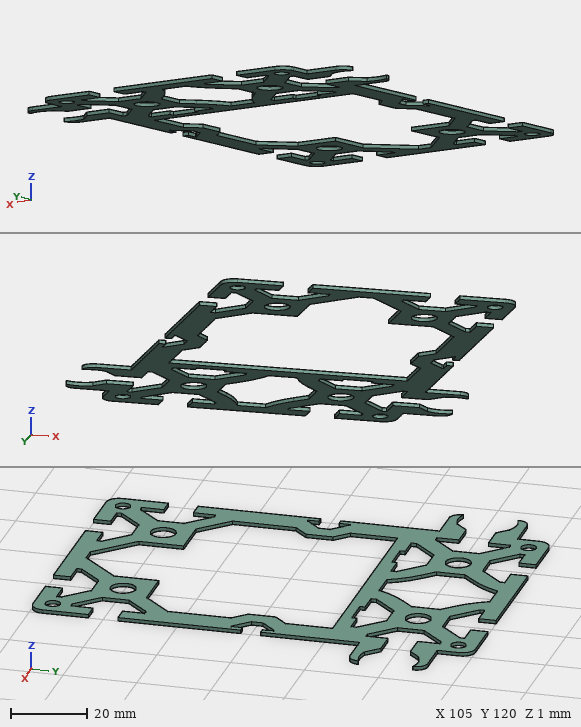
import cadquery as cq

thickness = 1.0
body_width = 80.0
body_height = 120.0
half_width = body_width / 2
half_height = body_height / 2
corner_radius = 3.5

cell_half = 20.0
core_x = half_width - cell_half
core_y = half_height - cell_half
core_half = 7.6
core_bore = 6.8
corner_hole = 4.0
corner_hole_inset = 5.0

slot_mouth_half = 4.0
slot_lip = 4.7
slot_half = 10.0
slot_shoulder = 6.0
slot_depth = cell_half - core_half
slot_floor_half = slot_half - (slot_depth - slot_shoulder)
closed_slot_recess = 3.1
closed_slot_lip = 4.5

side_mouth_half = 2.7
side_lip = 1.8
side_slot_half = 5.75
side_shoulder = 2.2
side_depth = 6.4
side_floor_half = side_slot_half - (side_depth - side_shoulder)

hollow_half_width = core_x - core_half
hollow_half_height = 15.0
hollow_side_half = 3.9
hollow_end_half = 3.8
hollow_bevel = 3.2

cavity_top = 20.15
cavity_half_width = 32.4
bump_height = 3.7
bump_half = 3.7
brace_offset = 4.55
cavity_bottom = -54.9

wing_tip_x = 52.5
wing_tip_radius = 3.0
wing_bevel_x = 42.6
upper_wing_top = 50.6
upper_bevel = 2.9
upper_hook_mid = (48.5, 47.9)
upper_tip_y = 47.3
lower_wing_bottom = 29.5
lower_bevel = 3.5
lower_hook_mid = (48.9, 32.0)
lower_tip_y = 32.6


def extruded(sketch):
    return sketch.close().extrude(thickness)


def both_sides(shape):
    """Join a shape on the +X side with its mirror image."""
    return shape.union(shape.mirror("YZ"))


def slot(mouth_half, lip, half, shoulder, depth, floor_half, start=0.0):
    """T-slot void entering from the origin along +Y."""
    right = [(mouth_half, start), (mouth_half, lip), (half, lip), (half, shoulder), (floor_half, depth)]
    left = [(-x, y) for x, y in reversed(right)]
    return extruded(cq.Workplane("XY").polyline(right + left))


def t_slot(lip=slot_lip, start=0.0):
    return slot(slot_mouth_half, lip, slot_half, slot_shoulder, slot_depth, slot_floor_half, start)


def placed(void, x, y, angle):
    """Turn a slot about Z, then move its mouth to (x, y)."""
    return void.rotate((0, 0, 0), (0, 0, 1), angle).translate((x, y, 0))


def body():
    plate = cq.Workplane("XY").rect(body_width, body_height).extrude(thickness)
    return plate.edges("|Z").fillet(corner_radius)


def upper_wing():
    root_y = core_y + slot_mouth_half
    root_x = half_width - slot_lip
    wing = (
        cq.Workplane("XY")
        .moveTo(root_x, root_y)
        .lineTo(wing_bevel_x, root_y)
        .lineTo(wing_bevel_x + upper_bevel, root_y + upper_bevel)
        .threePointArc(upper_hook_mid, (wing_tip_x, upper_tip_y))
        .lineTo(wing_tip_x, upper_wing_top - wing_tip_radius)
        .radiusArc((wing_tip_x - wing_tip_radius, upper_wing_top), -wing_tip_radius)
        .lineTo(root_x, upper_wing_top)
    )
    return extruded(wing)


def lower_wing():
    root_y = core_y - slot_mouth_half
    root_x = half_width - slot_lip
    wing = (
        cq.Workplane("XY")
        .moveTo(root_x, root_y)
        .lineTo(wing_bevel_x, root_y)
        .lineTo(wing_bevel_x + lower_bevel, root_y - lower_bevel)
        .threePointArc(lower_hook_mid, (wing_tip_x, lower_tip_y))
        .lineTo(wing_tip_x, lower_wing_bottom + wing_tip_radius)
        .radiusArc((wing_tip_x - wing_tip_radius, lower_wing_bottom), wing_tip_radius)
        .lineTo(root_x, lower_wing_bottom)
    )
    return extruded(wing)


def hollow():
    """Eight-sided hollow whose bevels curve towards its top and bottom ends."""
    bevel_x = hollow_half_width - hollow_bevel
    bevel_y = hollow_side_half + hollow_bevel
    quarter = (
        cq.Workplane("XY")
        .lineTo(hollow_half_width, 0)
        .lineTo(hollow_half_width, hollow_side_half)
        .lineTo(bevel_x, bevel_y)
        .tangentArcPoint((hollow_end_half, hollow_half_height), relative=False)
        .lineTo(0, hollow_half_height)
    )
    half = both_sides(extruded(quarter))
    return half.union(half.mirror("XZ")).translate((0, core_y, 0))


def cavity():
    bump_x = cavity_half_width - bump_height
    bump_base_half = bump_half + bump_height
    pad_top = -core_y + core_half
    pad_x = core_x - core_half
    brace_x = core_x + brace_offset
    brace_y = -core_y - brace_offset
    half = (
        cq.Workplane("XY")
        .moveTo(0, cavity_top)
        .lineTo(cavity_half_width, cavity_top)
        .lineTo(cavity_half_width, bump_base_half)
        .lineTo(bump_x, bump_half)
        .lineTo(bump_x, -bump_half)
        .lineTo(cavity_half_width, -bump_base_half)
        .lineTo(cavity_half_width, pad_top + cavity_half_width - brace_x)
        .lineTo(brace_x, pad_top)
        .lineTo(pad_x, pad_top)
        .lineTo(pad_x, brace_y)
        .lineTo(pad_x + cavity_bottom - brace_y, cavity_bottom)
        .lineTo(0, cavity_bottom)
    )
    return both_sides(extruded(half))


def holes(x, y, diameter):
    """Through holes at the four mirrored positions of (x, y)."""
    centers = [(x, y), (-x, y), (x, -y), (-x, -y)]
    return cq.Workplane("XY").pushPoints(centers).circle(diameter / 2).extrude(thickness)


def slots_on_right():
    """Slot voids of the +X half."""
    side_slot = slot(
        side_mouth_half, side_lip, side_slot_half, side_shoulder, side_depth, side_floor_half
    )
    closed_slot = t_slot(closed_slot_lip, closed_slot_recess)
    return (
        placed(t_slot(), core_x, half_height, 180)
        .union(placed(t_slot(), core_x, -half_height, 0))
        .union(placed(t_slot(), half_width, core_y, 90))
        .union(placed(t_slot(), half_width, -core_y, 90))
        .union(placed(side_slot, half_width, 0, 90))
        .union(placed(closed_slot, core_x, core_y - cell_half, 0))
    )


result = body().cut(both_sides(slots_on_right()))
result = result.union(both_sides(upper_wing())).union(both_sides(lower_wing()))
result = result.cut(hollow()).cut(cavity())
result = result.cut(holes(core_x, core_y, core_bore))
result = result.cut(holes(half_width - corner_hole_inset, half_height - corner_hole_inset, corner_hole))